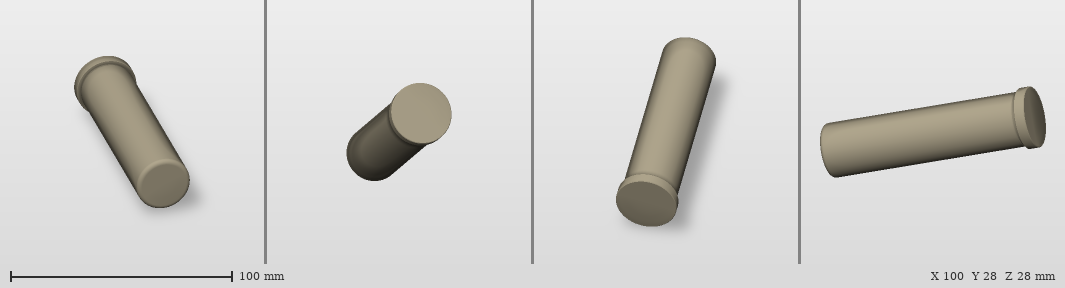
import cadquery as cq

total_length = 100.0
shank_diameter = 25.0
x_start = -total_length / 2
x_end = total_length / 2

head_diameter = 28.0
head_thickness = 5.0
head_chamfer = 0.3

groove_depth = 0.3
groove_width = 1.5
groove_runout = 0.3

lead_radius = 2.0

shank_radius = shank_diameter / 2
head_radius = head_diameter / 2
groove_radius = shank_radius - groove_depth
groove_start = x_start + head_thickness
groove_end = groove_start + groove_width
lead_start = x_end - lead_radius

profile = (
    cq.Workplane("XY")
    .moveTo(x_start, 0)
    .lineTo(x_start, head_radius - head_chamfer)
    .lineTo(x_start + head_chamfer, head_radius)
    .lineTo(groove_start - head_chamfer, head_radius)
    .lineTo(groove_start, head_radius - head_chamfer)
    .lineTo(groove_start, groove_radius)
    .lineTo(groove_end - groove_runout, groove_radius)
    .lineTo(groove_end, shank_radius)
    .lineTo(lead_start, shank_radius)
    .tangentArcPoint((x_end, shank_radius - lead_radius), relative=False)
    .lineTo(x_end, 0)
    .close()
)

result = profile.revolve(360, (0, 0, 0), (1, 0, 0))